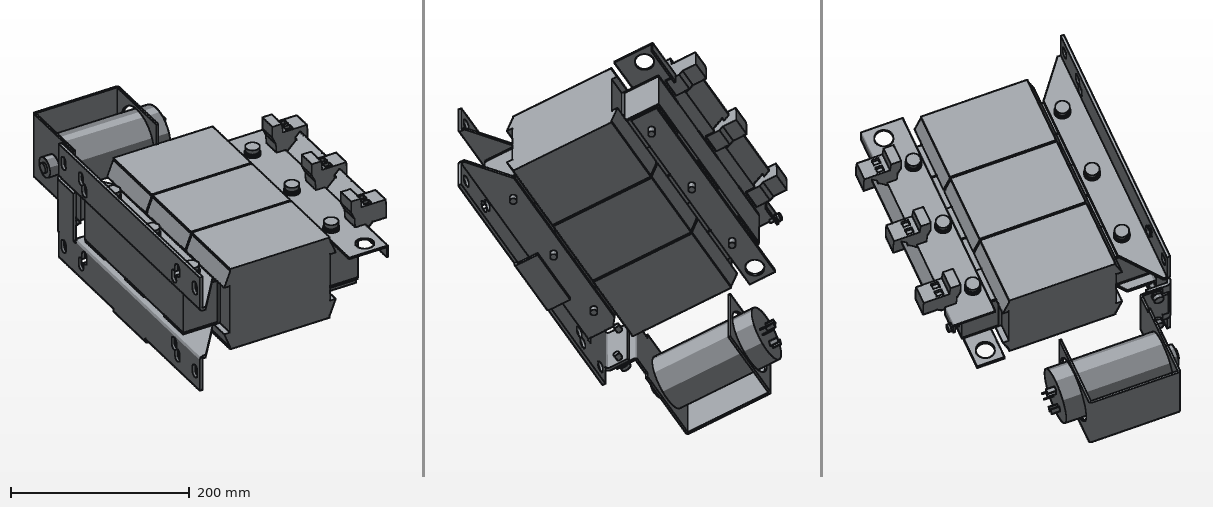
import cadquery as cq


overall_length = 437.5
overall_height = 158.0
phase_pitch = 88.0
phase_places = (-phase_pitch, 0, phase_pitch)

limb_width = 43.8
yoke_depth = 44.5
core_half_height = 27.5
limb_half_height = 30.0
limb_inset = 0.5
core_y0 = 6.0
core_y1 = 232.8
core_length = 2 * phase_pitch + limb_width

coil_width = 85.8
coil_half_height = 54.0
coil_end_clearance = 4.0
coil_lip = 7.5
coil_lip_height = 31.0
coil_bevel = 8.0
coil_rim = 2.5

foot_sheet = 4.0
foot_bend = 4.5
foot_half_length = 157.5
foot_top = 75.5
foot_flange_top = limb_half_height + foot_sheet
foot_flange_depth = 44.0
flange_straight = 8.0
slot_width = 10.5
slot_length = 16.0
slot_places = ((146.5, 55.5), (107.5, 57), (100.0, 45.0))
lower_foot_right = 158.0
lower_flange_left = -120.0
upright_right = -125.0
relief_depth = 5.5
bottom_tab_width = 71.0
bottom_tab_depth = 30.5
bottom_tab_bottom = foot_top - overall_height

side_tab_end = 30.5
side_tab_bottom = -42.5
side_tab_bend = 7.0
side_tab_x = -foot_half_length - side_tab_bend

rear_sheet = 2.0
rear_bend = 1.8
rear_top = limb_half_height + rear_sheet
strap_near = -125.0
strap_far = 149.0
strap_y0 = 198.0
strap_y1 = 249.0
strap_lip_bottom = 17.0
lower_strap_y0 = 197
lower_strap_y1 = 230.0
lifting_hole_x = 132.5
lifting_hole_d = 21.5
upper_lifting_y = 228.0
lower_lifting_y = 213.5

rail_rise = 19.0
rail_tongue_gap = 3.5
rail_tongue_rise = 12.2

block_width = 22.8
block_back = 275.0
block_front = 229.5
tower_depth = 12.2
tower_top = 68.5
tower_front_bottom = 54.0
tower_lean = 1.5
shoulder_z = 57
neck_front = 234.0
neck_z = 44.0
neck_lean = 1.5
back_bevel_depth = 1.0
back_bevel_height = 7.5
clip_bottom = 28.0
clip_back = 253.5
wire_hole_x = 5.2
wire_hole_y = 253.5
wire_hole_width = 7.0
wire_hole_length = 8.5
wire_hole_depth = 4.5

bolt_front_y = 30.0
bolt_rear_y = 210.5
bolt_head_d = 16.5
bolt_head_height = 5.5
spring_washer_d = 15.8
spring_washer_height = 2.0
washer_d = 18.5
washer_height = 2.0
bolt_shank_d = 8.0
bolt_length = 75.5

bracket_sheet = 2.5
bracket_left = lower_foot_right - overall_length
bracket_middle_z = -6.5
bracket_height = 84.0
bracket_neck_height = 70
bracket_wide_end = -189.5
bracket_front_y = 37.0
bracket_rear_y = 145.0
bracket_foot_y = 13
bracket_tongue_y = 4.5
bracket_tongue_height = 40.2
bracket_tongue_bevel = 2.0
bracket_hole_d = 75.2
can_x = -232
can_d = 64.8
can_end = 169.5
boss_d = 24.5
boss_length = 12.2
nipple_d = 12.2
nipple_length = 2.5
terminal_length = 10.5
blade_width = 6.0
blade_sheet = 1.5
blade_spacing = 6.5
side_blade_tilt = 60
top_blade_rise = 12.2
side_blade_x = 10.0
side_blade_drop = 9.5

screw_head_d = 11.5
screw_head_height = 5.2
screw_washer_d = 12.2
screw_washer_height = 2.5
screw_shank_d = 7.0
screw_reach = 14.5
screw_y = 20.5
screw_spacing = 55.0
lip_screw_x = -120.5
lip_screw_z = 22
lip_screw_head_d = 8.8
lip_screw_head_height = 3.0
lip_washer_d = 9.5
lip_washer_height = 2.0
lip_screw_shank_d = 4.5
lip_screw_reach = 8.5


def block(x0, x1, y0, y1, z0, z1):
    """Box given by its limits along each axis."""
    return cq.Workplane("XY").box(x1 - x0, y1 - y0, z1 - z0, centered=False).translate((x0, y0, z0))


def rod_x(diameter, x0, x1, y, z):
    return cq.Workplane("YZ", origin=(x0, y, z)).circle(diameter / 2).extrude(x1 - x0)


def rod_y(diameter, y0, y1, x, z):
    return cq.Workplane("XZ", origin=(x, y0, z)).circle(diameter / 2).extrude(y0 - y1)


def rod_z(diameter, z0, z1, x, y):
    return cq.Workplane("XY", origin=(x, y, z0)).circle(diameter / 2).extrude(z1 - z0)


def side_profile(points, x0, x1):
    """Solid with a (Y, Z) outline between two X places."""
    return cq.Workplane("YZ", origin=(x0, 0, 0)).polyline(points).close().extrude(x1 - x0)


def make_core():
    half = core_length / 2
    core = block(-half, half, core_y0, core_y0 + yoke_depth, -core_half_height, core_half_height)
    core = core.union(
        block(-half, half, core_y1 - yoke_depth, core_y1, -core_half_height, core_half_height)
    )
    half_limb = limb_width / 2 - limb_inset
    y0 = core_y0 + limb_inset
    y1 = core_y1 - limb_inset
    for x in phase_places:
        limb = block(x - half_limb, x + half_limb, y0, y1, -limb_half_height, limb_half_height)
        core = core.union(limb)
    return core


def make_coil(x):
    """Winding with bevelled ends, recessed where it faces the yokes."""
    front = core_y0 + yoke_depth + coil_end_clearance
    rear = core_y1 - yoke_depth - coil_end_clearance
    lip_front = front - coil_lip
    lip_rear = rear + coil_lip
    bevel_height = coil_half_height - coil_rim
    outline = []
    for side in (-1, 1):
        ends = [
            (front, side * coil_lip_height),
            (lip_front, side * coil_lip_height),
            (lip_front + coil_bevel, side * bevel_height),
            (lip_front + coil_bevel, side * coil_half_height),
            (lip_rear - coil_bevel, side * coil_half_height),
            (lip_rear - coil_bevel, side * bevel_height),
            (lip_rear, side * coil_lip_height),
            (rear, side * coil_lip_height),
        ]
        outline += ends[::-side]
    return side_profile(outline, x - coil_width / 2, x + coil_width / 2)


def cut_foot_slots(foot, side):
    for x, z in slot_places:
        slots = (
            cq.Workplane("XZ")
            .pushPoints([(-x, side * z), (x, side * z)])
            .slot2D(slot_length, slot_width, 90)
            .extrude(-foot_sheet)
        )
        foot = foot.cut(slots)
    return foot


def foot_flange(z0):
    """Trapezoid that tapers from the foot to the core."""
    half = core_length / 2
    outline = [
        (-foot_half_length, 0),
        (foot_half_length, 0),
        (foot_half_length, flange_straight),
        (half, foot_flange_depth),
        (-half, foot_flange_depth),
        (-foot_half_length, flange_straight),
    ]
    return cq.Workplane("XY", origin=(0, 0, z0)).polyline(outline).close().extrude(foot_sheet)


def make_upper_foot():
    plate = block(-foot_half_length, foot_half_length, 0, foot_sheet, limb_half_height, foot_top)
    foot = plate.union(foot_flange(limb_half_height))
    foot = foot.edges(cq.selectors.NearestToPointSelector((0, 0, limb_half_height))).fillet(foot_bend)
    return cut_foot_slots(foot, 1)


def make_lower_foot():
    left = -foot_half_length
    plate = block(lower_flange_left, lower_foot_right, 0, foot_sheet, -foot_top, -limb_half_height)
    flange = foot_flange(-foot_flange_top)
    flange = flange.cut(
        block(left, lower_flange_left, 0, foot_flange_depth, -foot_flange_top, -limb_half_height)
    )
    foot = plate.union(flange)
    foot = foot.edges(cq.selectors.NearestToPointSelector((0, 0, -limb_half_height))).fillet(foot_bend)

    relief_bottom = -limb_half_height - relief_depth
    foot = foot.cut(block(upright_right, lower_flange_left, 0, foot_sheet, relief_bottom, 0))
    foot = foot.union(block(left, lower_flange_left, 0, foot_sheet, -foot_top, relief_bottom))
    foot = foot.union(block(left, upright_right, 0, foot_sheet, relief_bottom, core_half_height))

    tab_half = bottom_tab_width / 2
    tab_top = bottom_tab_bottom + foot_sheet
    tab = block(-tab_half, tab_half, 0, bottom_tab_depth, bottom_tab_bottom, tab_top)
    tab = tab.union(block(-tab_half, tab_half, 0, foot_sheet, bottom_tab_bottom, -foot_top))
    tab = tab.edges("|X and <Y and <Z").fillet(foot_bend)
    foot = foot.union(tab)
    return cut_foot_slots(foot, -1).union(make_side_tab())


def make_side_tab():
    """Tab bent back from the left end of the lower foot."""
    bend_x = -foot_half_length
    inner = side_tab_bend - foot_sheet
    return (
        cq.Workplane("XY", origin=(0, 0, side_tab_bottom))
        .moveTo(bend_x, 0)
        .radiusArc((side_tab_x, side_tab_bend), side_tab_bend)
        .lineTo(side_tab_x, side_tab_end)
        .lineTo(side_tab_x + foot_sheet, side_tab_end)
        .lineTo(side_tab_x + foot_sheet, side_tab_bend)
        .radiusArc((bend_x, foot_sheet), -inner)
        .close()
        .extrude(core_half_height - side_tab_bottom)
    )


def make_upper_strap():
    rail_half = phase_pitch
    lip_start = phase_pitch + block_width / 2
    lip_front = strap_y1 - rear_sheet
    strap = block(strap_near, strap_far, strap_y0, lip_front, limb_half_height, rear_top)
    for x0, x1 in ((strap_near, -lip_start), (lip_start, strap_far)):
        lip = block(x0, x1, lip_front, strap_y1, strap_lip_bottom, rear_top)
        strap = strap.union(lip.edges("|X and >Y and >Z").fillet(rear_bend))
    strap = strap.cut(rod_z(lifting_hole_d, limb_half_height, rear_top, lifting_hole_x, upper_lifting_y))

    slope = [
        (lip_front, limb_half_height),
        (lip_front + rail_rise, limb_half_height + rail_rise),
        (lip_front + rail_rise, rear_top + rail_rise),
        (lip_front, rear_top),
    ]
    rail = side_profile(slope, -rail_half, rail_half)
    notch_half = block_width / 2 + rail_tongue_gap
    for x in phase_places:
        rail = rail.cut(
            block(x - notch_half, x + notch_half, lip_front, lip_front + rail_tongue_rise, 0, foot_top)
        )
    return strap.union(rail)


def make_lower_strap():
    right = core_length / 2
    strap = block(-strap_far, right, lower_strap_y0, lower_strap_y1, -foot_flange_top, -limb_half_height)
    return strap.cut(rod_z(lifting_hole_d, -foot_flange_top, 0, -lifting_hole_x, lower_lifting_y))


def make_terminal_block(x):
    """Terminal with a low wire entry behind a tower, clipped over the strap."""
    tower_back = block_front + tower_depth
    clip_slope = rear_top - clip_bottom
    outline = [
        (neck_front + neck_lean, clip_bottom),
        (neck_front, neck_z),
        (block_front, tower_front_bottom),
        (block_front, tower_top),
        (tower_back, tower_top),
        (tower_back + tower_lean, shoulder_z),
        (block_back - back_bevel_depth, shoulder_z),
        (block_back, shoulder_z - back_bevel_height),
        (block_back, rear_top),
        (clip_back + clip_slope, rear_top),
        (clip_back, clip_bottom),
    ]
    body = side_profile(outline, x - block_width / 2, x + block_width / 2)
    wire_holes = (
        cq.Workplane("XY", origin=(x, wire_hole_y, shoulder_z))
        .pushPoints([(-wire_hole_x, 0), (wire_hole_x, 0)])
        .rect(wire_hole_width, wire_hole_length)
        .extrude(-wire_hole_depth)
    )
    return body.cut(wire_holes)


def make_bolt(x, y, seat):
    bolt = rod_z(bolt_shank_d, seat - bolt_length, seat, x, y)
    stack = (
        (washer_d, washer_height),
        (spring_washer_d, spring_washer_height),
        (bolt_head_d, bolt_head_height),
    )
    z = seat
    for diameter, height in stack:
        bolt = bolt.union(rod_z(diameter, z, z + height, x, y))
        z += height
    return bolt


def make_bracket_screw(z):
    seat = side_tab_x - bracket_sheet
    washer_face = seat - screw_washer_height
    screw = rod_x(screw_washer_d, washer_face, seat, screw_y, z)
    screw = screw.union(rod_x(screw_head_d, washer_face - screw_head_height, washer_face, screw_y, z))
    return screw.union(rod_x(screw_shank_d, seat, seat + screw_reach, screw_y, z))


def make_lip_screw():
    washer_face = strap_y1 + lip_washer_height
    head_end = washer_face + lip_screw_head_height
    washer = rod_y(lip_washer_d, strap_y1, washer_face, lip_screw_x, lip_screw_z)
    head = rod_y(lip_screw_head_d, washer_face, head_end, lip_screw_x, lip_screw_z)
    shank = rod_y(lip_screw_shank_d, strap_y1 - lip_screw_reach, strap_y1, lip_screw_x, lip_screw_z)
    return washer.union(head).union(shank)


def make_bracket():
    z0 = bracket_middle_z - bracket_height / 2
    z1 = bracket_middle_z + bracket_height / 2
    neck_z0 = bracket_middle_z - bracket_neck_height / 2
    neck_z1 = bracket_middle_z + bracket_neck_height / 2
    tongue_z0 = bracket_middle_z - bracket_tongue_height / 2
    tongue_z1 = bracket_middle_z + bracket_tongue_height / 2
    front_back = bracket_front_y + bracket_sheet
    rear_back = bracket_rear_y + bracket_sheet
    strip_left = side_tab_x - bracket_sheet

    wrap = block(bracket_left, bracket_wide_end, bracket_front_y, rear_back, z0, z1)
    wrap = wrap.edges("|Z and <X").fillet(bracket_sheet)
    wrap = wrap.cut(
        block(bracket_left + bracket_sheet, bracket_wide_end, front_back, bracket_rear_y, z0, z1)
    )
    wrap = wrap.cut(rod_y(bracket_hole_d, bracket_rear_y, rear_back, can_x, bracket_middle_z))

    neck = block(bracket_wide_end, side_tab_x, bracket_front_y, front_back, neck_z0, neck_z1)
    strip = block(strip_left, side_tab_x, bracket_foot_y, front_back, neck_z0, neck_z1)
    arm = neck.union(strip).edges("|Z and >X and >Y").fillet(bracket_sheet)
    tongue = block(strip_left, side_tab_x, bracket_tongue_y, bracket_foot_y, tongue_z0, tongue_z1)
    tongue = tongue.edges("|Z and <X and <Y").chamfer(bracket_tongue_bevel)
    return wrap.union(arm).union(tongue)


def make_capacitor():
    can_start = bracket_front_y + bracket_sheet
    boss_start = bracket_front_y - boss_length
    can = rod_y(can_d, can_start, can_end, can_x, bracket_middle_z)
    can = can.union(rod_y(boss_d, boss_start, can_start, can_x, bracket_middle_z))
    can = can.union(rod_y(nipple_d, boss_start - nipple_length, boss_start, can_x, bracket_middle_z))
    can = can.union(blade_pair(0, top_blade_rise, 0))
    for side in (-1, 1):
        can = can.union(blade_pair(side * side_blade_x, -side_blade_drop, side * side_blade_tilt))
    return can


def blade_pair(x, z, tilt):
    """Two parallel contact blades, placed from the can axis and turned about Y."""
    blades = (
        cq.Workplane("XZ")
        .pushPoints([(0, -blade_spacing / 2), (0, blade_spacing / 2)])
        .rect(blade_width, blade_sheet)
        .extrude(-terminal_length)
    )
    blades = blades.rotate((0, 0, 0), (0, 1, 0), tilt)
    return blades.translate((can_x + x, can_end, bracket_middle_z + z))


result = make_core()
for phase_x in phase_places:
    result = result.union(make_coil(phase_x))
result = result.union(make_upper_foot()).union(make_lower_foot())
result = result.union(make_upper_strap()).union(make_lower_strap())
for phase_x in phase_places:
    result = result.union(make_terminal_block(phase_x))
    result = result.union(make_bolt(phase_x, bolt_front_y, foot_flange_top))
    result = result.union(make_bolt(phase_x, bolt_rear_y, rear_top))
result = result.union(make_bracket()).union(make_capacitor())
for side in (-1, 1):
    result = result.union(make_bracket_screw(bracket_middle_z + side * screw_spacing / 2))
result = result.union(make_lip_screw())